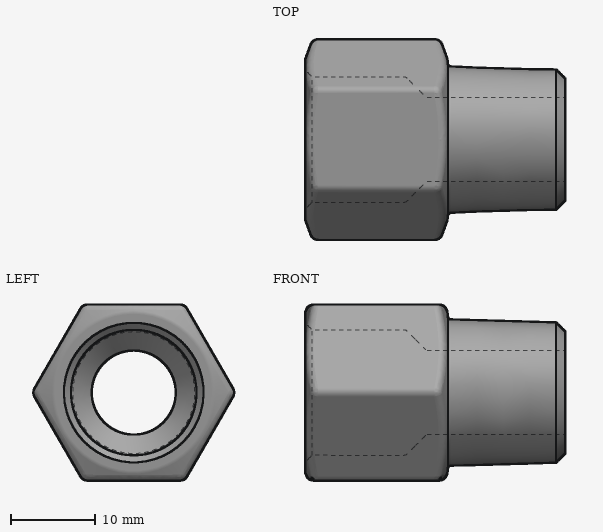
import cadquery as cq
import math

total_length = 31
hex_length = 17.0
hex_across_flats = 21.0
hex_rounding = 1.0

end_face_radius = 9.52
end_cone_angle = 20

thread_base_radius = 8.75
thread_tip_radius = 8.37
thread_tip_chamfer = 1.12
neck_fillet = 0.4

socket_radius = 7.47
socket_mouth_radius = 8.3
socket_depth = 12.0
socket_floor_angle = 45
through_radius = 5.0
floor_fillet = 0.5

selection_margin = 0.03


def revolve_profile(points):
    """Solid of revolution about X from (x, radius) points."""
    return cq.Workplane("XZ").polyline(points).close().revolve(360, (0, 0, 0), (1, 0, 0))


def rims_between(x_start, x_end, largest_radius):
    """Selector for circular edges about X within a length range and up to a radius."""
    reach = largest_radius + selection_margin
    return cq.selectors.BoxSelector(
        (x_start - selection_margin, -reach, -reach),
        (x_end + selection_margin, reach, reach),
        boundingbox=True,
    )


def make_hexagon():
    """Hexagonal body with rounded edges and rounded conical ends."""
    corner_diameter = hex_across_flats / math.cos(math.radians(30))
    prism = cq.Workplane("YZ").polygon(6, corner_diameter).extrude(hex_length)
    prism = prism.edges("|X").fillet(hex_rounding)

    envelope_radius = corner_diameter / 2
    cone_length = (envelope_radius - end_face_radius) * math.tan(math.radians(end_cone_angle))
    envelope = revolve_profile([
        (0, 0),
        (0, end_face_radius),
        (cone_length, envelope_radius),
        (hex_length - cone_length, envelope_radius),
        (hex_length, end_face_radius),
        (hex_length, 0),
    ])
    body = prism.intersect(envelope)
    return body.edges("not |X").fillet(hex_rounding)


def make_thread():
    """Tapered spigot with a chamfered tip; it starts inside the hexagon so the two join."""
    return revolve_profile([
        (hex_length / 2, 0),
        (hex_length / 2, thread_base_radius),
        (hex_length, thread_base_radius),
        (total_length - thread_tip_chamfer, thread_tip_radius),
        (total_length, thread_tip_radius - thread_tip_chamfer),
        (total_length, 0),
    ])


def make_bore():
    """Countersunk socket, conical floor and through hole as one cutter."""
    mouth_depth = socket_mouth_radius - socket_radius
    floor_length = (socket_radius - through_radius) / math.tan(math.radians(socket_floor_angle))
    floor_end = socket_depth + floor_length
    cutter = revolve_profile([
        (0, 0),
        (0, socket_mouth_radius),
        (mouth_depth, socket_radius),
        (socket_depth, socket_radius),
        (floor_end, through_radius),
        (total_length, through_radius),
        (total_length, 0),
    ])
    floor_rims = rims_between(socket_depth, floor_end, socket_radius)
    return cutter.edges(floor_rims).fillet(floor_fillet)


neck_edge = rims_between(hex_length, hex_length, thread_base_radius)
outside = make_hexagon().union(make_thread())
outside = outside.edges(neck_edge).fillet(neck_fillet)
result = outside.cut(make_bore())